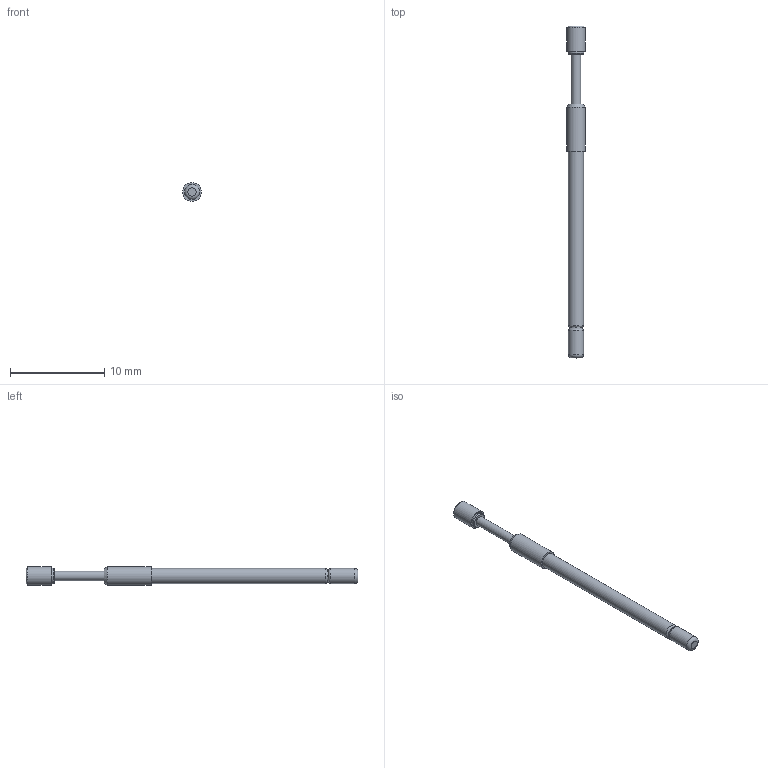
import cadquery as cq
import math

total_length = 35.3

head_radius = 1.0
head_length = 2.7
head_chamfer = 0.15

collar_radius = 0.85
collar_length = 0.3
collar_chamfer = 0.1

rod_radius = 0.5
rod_length = 5.3

sleeve_radius = 1.0
sleeve_length = 5.0
lead_in_radius = 0.8
lead_in_angle = 30.0

barrel_radius = 0.8
tail_fillet = 0.35
groove_position = 3.2
groove_lip_radius = 0.2
groove_floor_width = 0.1

head_back = total_length - head_length
collar_back = head_back - collar_length
sleeve_front = collar_back - rod_length
sleeve_back = sleeve_front - sleeve_length
lead_in_length = (sleeve_radius - lead_in_radius) / math.tan(math.radians(lead_in_angle))


def turned(profile):
    """Revolve a closed half profile, drawn at X >= 0, about the Y axis."""
    return profile.close().revolve(360, (0, 0, 0), (0, 1, 0))


def cylinder(radius, start, end):
    return turned(
        cq.Workplane("XY")
        .moveTo(0, start)
        .lineTo(radius, start)
        .lineTo(radius, end)
        .lineTo(0, end)
    )


def make_head():
    head = cylinder(head_radius, head_back, total_length)
    return head.faces(">Y").chamfer(head_chamfer)


def make_sleeve():
    return turned(
        cq.Workplane("XY")
        .moveTo(0, sleeve_back)
        .lineTo(sleeve_radius, sleeve_back)
        .lineTo(sleeve_radius, sleeve_front - lead_in_length)
        .lineTo(lead_in_radius, sleeve_front)
        .lineTo(0, sleeve_front)
    )


def make_collar():
    collar = cylinder(collar_radius, collar_back, head_back)
    return collar.faces("<Y").chamfer(collar_chamfer)


def make_barrel():
    """Barrel whose crimp groove has a narrow flat floor between two convex lips."""
    lip_arc_offset = groove_lip_radius * math.sqrt(0.5)
    floor_radius = barrel_radius - groove_lip_radius
    lip_mid_radius = floor_radius + lip_arc_offset
    floor_tail = groove_position - groove_floor_width / 2
    floor_front = groove_position + groove_floor_width / 2
    lip_tail = floor_tail - groove_lip_radius
    lip_front = floor_front + groove_lip_radius
    tail_arc_inset = tail_fillet * (1 - math.sqrt(0.5))
    return turned(
        cq.Workplane("XY")
        .lineTo(barrel_radius - tail_fillet, 0)
        .threePointArc((barrel_radius - tail_arc_inset, tail_arc_inset), (barrel_radius, tail_fillet))
        .lineTo(barrel_radius, lip_tail)
        .threePointArc((lip_mid_radius, lip_tail + lip_arc_offset), (floor_radius, floor_tail))
        .lineTo(floor_radius, floor_front)
        .threePointArc((lip_mid_radius, lip_front - lip_arc_offset), (barrel_radius, lip_front))
        .lineTo(barrel_radius, sleeve_back)
        .lineTo(0, sleeve_back)
    )


rod = cylinder(rod_radius, sleeve_front, collar_back)

result = make_barrel().union(make_sleeve()).union(rod).union(make_collar()).union(make_head())